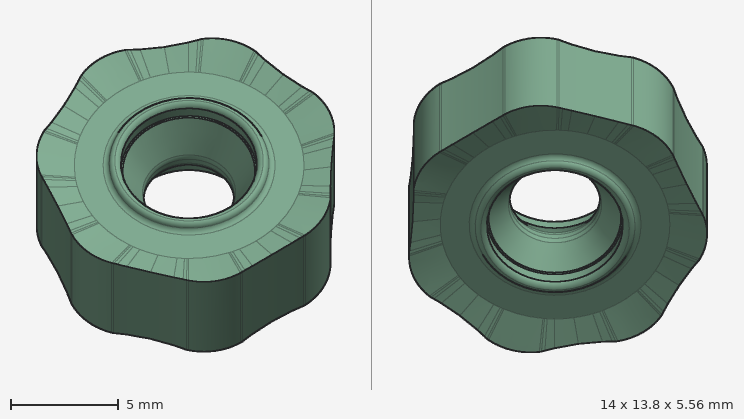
import cadquery as cq
import math

width = 13.98
height = 5.56
lobe_count = 7

lobe_radius = 3.08
lobe_half_angle = 10.2
blend_angle = 0.8
flank_waist_radius = 6.63

floor_radius = 5.34
floor_height = 2.32
rim_dip = 0.13
land_crease_angles = (13.4, 9.7)

collar_foot_radius = 4.0
collar_mid_radius = 3.72
collar_mid_height = 2.47
collar_top_radius = 3.45
collar_top_height = 2.68
crest_bulge = 0.05
foot_hollow = 0.04

counterbore_radius = 3.16
counterbore_top = 2.45
counterbore_bottom = 1.85
seat_radius = 3.08
seat_top = 1.82
seat_end_radius = 2.17

bore_radius = 2.1
bore_top = -0.11
bore_bottom = -0.42
lip_height = 0.25
lip_bulge = 0.01

pitch = 360 / lobe_count
rim_height = height / 2
blend_end = pitch / 2 - lobe_half_angle
flank_half_angle = blend_end - blend_angle

lobe_center = (width / 2 - lobe_radius) / math.cos(math.radians(pitch / 4))


def polar(radius, degrees, z=0.0):
    angle = math.radians(degrees)
    return cq.Vector(radius * math.cos(angle), radius * math.sin(angle), z)


def lobe_rim_radius(from_lobe):
    """Outline radius at a polar angle from the middle of a lobe."""
    angle = math.radians(from_lobe)
    across = lobe_center * math.sin(angle)
    return lobe_center * math.cos(angle) + math.sqrt(lobe_radius**2 - across**2)


lobe_end_radius = lobe_rim_radius(lobe_half_angle)
blend_distance = lobe_end_radius * math.cos(math.radians(blend_end))
flank_end_radius = blend_distance / math.cos(math.radians(flank_half_angle))

flank_half_chord = flank_end_radius * math.sin(math.radians(flank_half_angle))
flank_sag = blend_distance - flank_waist_radius
flank_radius = (flank_half_chord**2 + flank_sag**2) / (2 * flank_sag)
flank_center = flank_waist_radius + flank_radius


def rim(from_flank):
    """Radius and height of the rim at a polar angle from the middle of a flank."""
    if abs(from_flank) >= blend_end:
        return lobe_rim_radius(pitch / 2 - abs(from_flank)), rim_height
    angle = math.radians(from_flank)
    if abs(from_flank) >= flank_half_angle:
        return blend_distance / math.cos(angle), rim_height
    across = flank_center * math.sin(angle)
    radius = flank_center * math.cos(angle) - math.sqrt(flank_radius**2 - across**2)
    chord_share = radius * math.sin(angle) / flank_half_chord
    return radius, rim_height - rim_dip * (1 - chord_share**2)


def sector_blank():
    """Full-height wedge holding one flank, at angle zero, and the lobe after it."""
    lobe_end = pitch - blend_end
    angles = (-blend_end, -flank_half_angle, 0, flank_half_angle, blend_end, pitch / 2, lobe_end)
    radii = (
        lobe_end_radius,
        flank_end_radius,
        flank_waist_radius,
        flank_end_radius,
        lobe_end_radius,
        lobe_center + lobe_radius,
        lobe_end_radius,
    )
    points = [polar(radius, angle).toTuple()[:2] for radius, angle in zip(radii, angles)]
    return (
        cq.Workplane("XY", origin=(0, 0, -rim_height))
        .moveTo(*points[0])
        .lineTo(*points[1])
        .threePointArc(points[2], points[3])
        .lineTo(*points[4])
        .threePointArc(points[5], points[6])
        .lineTo(0, 0)
        .close()
        .extrude(height)
        .val()
    )


land_overshoot = 1.3


def land_strip_cutter(start, end):
    """Everything above the ruled strip of land between two polar angles."""
    inner = []
    outer = []
    for angle in (start, (start + end) / 2, end):
        radius, z = rim(angle)
        inner.append(polar(floor_radius, angle, floor_height))
        reach = floor_radius + land_overshoot * (radius - floor_radius)
        outer.append(polar(reach, angle, floor_height + land_overshoot * (z - floor_height)))
    strip = cq.Face.makeRuledSurface(cq.Edge.makeThreePointArc(*inner), cq.Edge.makeThreePointArc(*outer))
    return cq.Solid.extrudeLinear(strip, cq.Vector(0, 0, height))


def sector():
    """One flank and one lobe with the land sunk into both ends."""
    rising = [-blend_end, -flank_half_angle] + [-angle for angle in land_crease_angles]
    angles = rising + [0] + [-angle for angle in reversed(rising)] + [pitch - blend_end]
    cutters = [land_strip_cutter(start, end) for start, end in zip(angles, angles[1:])]
    cutters.append(cq.Solid.makeCylinder(floor_radius, height, cq.Vector(0, 0, floor_height)))
    return sector_blank().cut(*cutters, *[cutter.mirror("XY") for cutter in cutters])


def bowed(start, end, bow):
    """Point beside the middle of a line, pushed to the left of its direction."""
    dx = end[0] - start[0]
    dz = end[1] - start[1]
    length = math.hypot(dx, dz)
    return (start[0] + end[0]) / 2 - bow * dz / length, (start[1] + end[1]) / 2 + bow * dx / length


def below(point):
    """The same point of the profile at the lower end."""
    return point[0], -point[1]


def hub():
    """Ring with the collar on both ends and the hole through it."""
    mouth = (counterbore_radius, counterbore_top)
    top = (collar_top_radius, collar_top_height)
    mid = (collar_mid_radius, collar_mid_height)
    foot = (collar_foot_radius, floor_height)
    collar_arcs = (
        (mouth, bowed(mouth, top, crest_bulge), top),
        (top, bowed(top, mid, crest_bulge), mid),
        (mid, bowed(mid, foot, -foot_hollow), foot),
    )
    upper_bore = (bore_radius, bore_top)
    lower_bore = (bore_radius, bore_bottom)
    upper_seat_end = (seat_end_radius, bore_top + lip_height)
    lower_seat_end = (seat_end_radius, bore_bottom - lip_height)

    profile = (
        cq.Workplane("XZ")
        .moveTo(*lower_bore)
        .lineTo(*upper_bore)
        .threePointArc(bowed(upper_bore, upper_seat_end, lip_bulge), upper_seat_end)
        .lineTo(seat_radius, seat_top)
        .lineTo(counterbore_radius, counterbore_bottom)
        .lineTo(*mouth)
    )
    for _, middle, end in collar_arcs:
        profile = profile.threePointArc(middle, end)
    profile = profile.lineTo(*below(foot))
    for start, middle, _ in reversed(collar_arcs):
        profile = profile.threePointArc(below(middle), below(start))
    return (
        profile.lineTo(counterbore_radius, -counterbore_bottom)
        .lineTo(seat_radius, -seat_top)
        .lineTo(*lower_seat_end)
        .threePointArc(bowed(lower_seat_end, lower_bore, lip_bulge), lower_bore)
        .close()
        .revolve(360, (0, 0, 0), (0, 1, 0))
        .val()
    )


core = cq.Solid.makeCylinder(collar_foot_radius, height, cq.Vector(0, 0, -rim_height))
first_sector = sector().cut(core)
first_flank = 90 + pitch / 2
axis_start = cq.Vector(0, 0, 0)
axis_end = cq.Vector(0, 0, 1)
sectors = [
    first_sector.rotate(axis_start, axis_end, first_flank + i * pitch) for i in range(lobe_count)
]
result = cq.Workplane(hub().fuse(*sectors).clean())